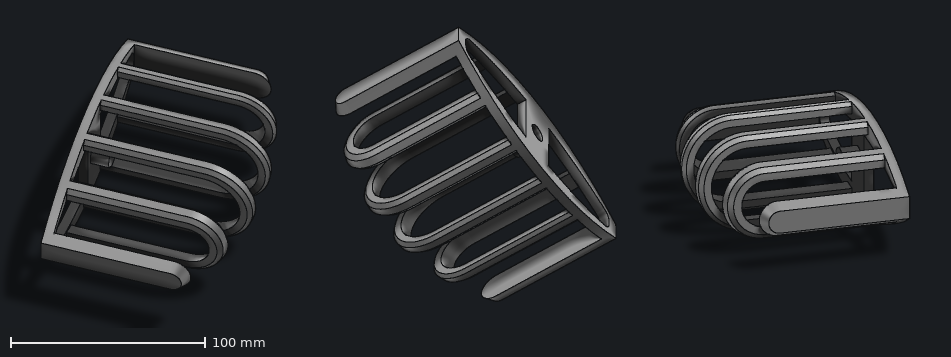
import cadquery as cq
import math

half_width = 74.0
rise = 27.16
tip_rise = 6.0
straight_length = 69.9

plate_thickness = 5.3
bridge_width = 21.5
window_tip = 67.3
window_mid_rise = 17.2
window_arc_radius = 207.2
window_tip_radius = 6.2

end_bar_thickness = 5.8
bar_thickness = 8.1
bar_depth = 6.0
bar_outer_faces = (18.2, 47.4)
bar_chamfer = 2.0

boss_diameter = 13.2
boss_end = 15.2
hole_diameter = 9.8
hole_depth = 10.0

outer_arc_radius = (half_width**2 + (rise - tip_rise)**2) / (2 * (rise - tip_rise))


def arc_height(y, mid_height, radius):
    """Height at y of an arc that peaks at mid_height over y = 0."""
    return mid_height - radius + math.sqrt(radius**2 - y**2)


def outer_height(y):
    return arc_height(y, rise, outer_arc_radius)


def bar_inner_height(y):
    return arc_height(y, rise - bar_depth, outer_arc_radius - bar_depth)


def window_height(y):
    return arc_height(y, window_mid_rise, window_arc_radius)


def lens_outline():
    """Full outer outline in the YZ plane."""
    return (
        cq.Workplane("YZ")
        .moveTo(-half_width, tip_rise)
        .threePointArc((0, rise), (half_width, tip_rise))
        .lineTo(half_width, -tip_rise)
        .threePointArc((0, -rise), (-half_width, -tip_rise))
        .close()
    )


def window_cutter():
    """Window on the +Y side, with a rounded tip."""
    inner = bridge_width / 2
    middle = (inner + window_tip) / 2
    return (
        cq.Workplane("YZ")
        .moveTo(inner, window_height(inner))
        .threePointArc((middle, window_height(middle)), (window_tip, window_height(window_tip)))
        .lineTo(window_tip, -window_height(window_tip))
        .threePointArc((middle, -window_height(middle)), (inner, -window_height(inner)))
        .close()
        .extrude(plate_thickness)
        .edges("|X and >Y")
        .fillet(window_tip_radius)
    )


def back_plate():
    window = window_cutter()
    plate = lens_outline().extrude(plate_thickness)
    return plate.cut(window).cut(window.mirror("XZ"))


def u_solid(y_start, y_end, height):
    """Solid between two Y positions whose U outline has the half height height(y)."""
    y_middle = (y_start + y_end) / 2
    section = (
        cq.Workplane("YZ")
        .moveTo(y_start, height(y_start))
        .threePointArc((y_middle, height(y_middle)), (y_end, height(y_end)))
        .lineTo(y_end, -height(y_end))
        .threePointArc((y_middle, -height(y_middle)), (y_start, -height(y_start)))
        .close()
        .extrude(straight_length)
    )
    bend = (
        cq.Workplane("XY", origin=(straight_length, 0, 0))
        .moveTo(0, y_start)
        .lineTo(height(y_start), y_start)
        .threePointArc((height(y_middle), y_middle), (height(y_end), y_end))
        .lineTo(0, y_end)
        .close()
        .revolve(360, (0, 0, 0), (0, 1, 0))
    )
    return section.union(bend)


def looped_bar(outer_face):
    """U-shaped bar on the +Y side, chamfered along both outer edges."""
    inner_face = outer_face - bar_thickness
    bar = u_solid(inner_face, outer_face, outer_height)
    bar = bar.faces("<Y or >Y").edges("not <X").chamfer(bar_chamfer)
    bar = bar.cut(u_solid(inner_face, outer_face, bar_inner_height))
    clear_of_plate = cq.Workplane("XY").box(
        2 * straight_length, 2 * half_width, 2 * rise, centered=(False, True, True)
    ).translate((plate_thickness, 0, 0))
    return bar.intersect(clear_of_plate)


result = back_plate()
bars = [looped_bar(face) for face in bar_outer_faces]
bars.append(u_solid(half_width - end_bar_thickness, half_width, outer_height))
for bar in bars:
    result = result.union(bar).union(bar.mirror("XZ"))

boss = cq.Workplane("YZ").circle(boss_diameter / 2).extrude(boss_end)
hole = cq.Workplane("YZ").circle(hole_diameter / 2).extrude(hole_depth)
result = result.union(boss).cut(hole)